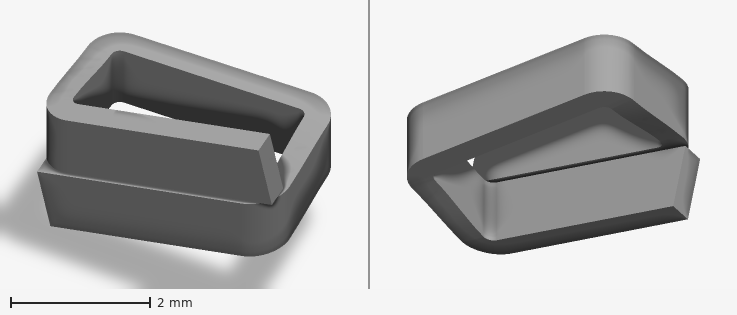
import cadquery as cq
import math

length = 3.81
depth = 2.29
wall = 0.38
band_height = 1.015
outer_radius = 0.515
inner_radius = outer_radius - wall

tilt = 12.0
slit = 0.065
free_end_x = 1.863

half_length = length / 2
inside_y = depth / 2 - wall
slope = math.tan(math.radians(tilt))
upright_height = band_height / math.cos(math.radians(tilt))
tall = 2 * length


def bar_bottom(x):
    """Height of the upper front bar's underside at x."""
    return slit / 2 + slope * x


def bar_top(x):
    return bar_bottom(x) + upright_height


def plan_prism(outer_corners):
    """Tall ring in plan, with the selected outer corners rounded."""
    outer = cq.Workplane("XY").box(length, depth, tall)
    outer = outer.edges("|Z").edges(outer_corners).fillet(outer_radius)
    window = cq.Workplane("XY").box(length - 2 * wall, depth - 2 * wall, tall)
    window = window.edges("|Z").fillet(inner_radius)
    return outer.cut(window)


def back_bar():
    bar = cq.Workplane("XY").box(length, wall, band_height)
    bar = bar.translate((0, inside_y + wall / 2, 0))
    return bar.intersect(plan_prism(">Y"))


def upper_front_bar():
    """Tilted bar, rounded on the left, with a square free end on the right."""
    top_end_x = free_end_x - band_height * math.sin(math.radians(tilt))
    top_end_z = bar_bottom(free_end_x) + band_height * math.cos(math.radians(tilt))
    bar = (
        cq.Workplane("XZ", origin=(0, -inside_y, 0))
        .moveTo(-half_length, bar_bottom(-half_length))
        .lineTo(free_end_x, bar_bottom(free_end_x))
        .lineTo(top_end_x, top_end_z)
        .lineTo(-half_length, bar_top(-half_length))
        .close()
        .extrude(wall)
    )
    return bar.intersect(plan_prism("<X and <Y"))


def arm_section(plane, x):
    """Side outline easing from the level back bar to the tilted front bar."""
    back_z = band_height / 2
    third_y = inside_y / 3
    top, bottom = bar_top(x), bar_bottom(x)
    return (
        plane.moveTo(inside_y, back_z)
        .bezier([(third_y, back_z), (-third_y, top), (-inside_y, top)], includeCurrent=True)
        .lineTo(-inside_y, bottom)
        .bezier([(-third_y, bottom), (third_y, -back_z), (inside_y, -back_z)], includeCurrent=True)
        .close()
    )


def left_arm():
    """Twisting side arm that carries the upper front bar."""
    arm_width = outer_radius
    start = arm_section(cq.Workplane("YZ", origin=(-half_length, 0, 0)), -half_length)
    end_plane = start.workplane(offset=arm_width)
    arm = arm_section(end_plane, arm_width - half_length).loft(ruled=True)
    return arm.intersect(plan_prism("<X or >X"))


upper_half = upper_front_bar().union(left_arm())
lower_half = upper_half.rotate((0, 0, 0), (0, 1, 0), 180)
result = back_bar().union(upper_half).union(lower_half)